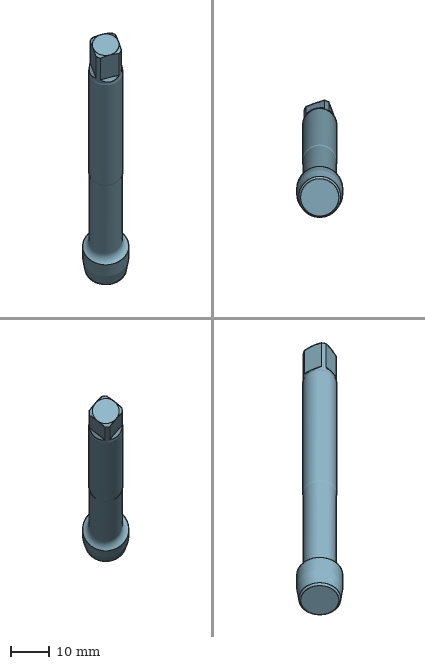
import cadquery as cq
import math

total_length = 100.0

head_diameter = 12.1
head_length = 10.2
taper_length = 5.0
taper_end_diameter = 11.0
tip_chamfer_width = 0.5
tip_chamfer_height = 0.6

neck_diameter = 8.7
flare_length = 2.6

shank_diameter = 9.0
shank_bottom = 43.0
shank_top = 88.5
bevel_length = 0.5
drive_diameter = 8.7

square_width = 7.0
flat_bottom = 90.0
runout_angle = 45.0
top_face_diameter = 7.0
top_chamfer_height = 0.4


def make_cutting_head():
    """Cylindrical head with a tapered lead and a chamfered tip."""
    head_radius = head_diameter / 2
    taper_end_radius = taper_end_diameter / 2
    return (
        cq.Workplane("XZ")
        .moveTo(0, 0)
        .lineTo(taper_end_radius - tip_chamfer_width, 0)
        .lineTo(taper_end_radius, tip_chamfer_height)
        .lineTo(head_radius, taper_length)
        .lineTo(head_radius, head_length)
        .lineTo(0, head_length)
        .close()
        .revolve(360, (0, 0, 0), (0, 1, 0))
    )


def make_round_shank():
    """Flared neck, bevelled shank and round drive end, before the flats are cut."""
    neck_radius = neck_diameter / 2
    shank_radius = shank_diameter / 2
    drive_radius = drive_diameter / 2
    flare_radius = head_diameter / 2
    flare_top = head_length + flare_length

    flare_width = flare_radius - neck_radius
    arc_radius = (flare_width**2 + flare_length**2) / (2 * flare_width)
    half_angle = math.atan2(flare_width, flare_length)
    flare_middle = (
        neck_radius + arc_radius * (1 - math.cos(half_angle)),
        flare_top - arc_radius * math.sin(half_angle),
    )
    return (
        cq.Workplane("XZ")
        .moveTo(0, head_length)
        .lineTo(flare_radius, head_length)
        .threePointArc(flare_middle, (neck_radius, flare_top))
        .lineTo(neck_radius, shank_bottom)
        .lineTo(shank_radius, shank_bottom + bevel_length)
        .lineTo(shank_radius, shank_top - bevel_length)
        .lineTo(drive_radius, shank_top)
        .lineTo(drive_radius, total_length - top_chamfer_height)
        .lineTo(top_face_diameter / 2, total_length)
        .lineTo(0, total_length)
        .close()
        .revolve(360, (0, 0, 0), (0, 1, 0))
    )


def make_flat_cutter():
    """Block that cuts one flat on the +X side, with a floor sloping down outwards."""
    flat_distance = square_width / 2
    outer_distance = shank_diameter / 2
    runout_drop = (outer_distance - flat_distance) * math.tan(math.radians(runout_angle))
    return (
        cq.Workplane("XZ")
        .moveTo(flat_distance, flat_bottom)
        .lineTo(outer_distance, flat_bottom - runout_drop)
        .lineTo(outer_distance, total_length)
        .lineTo(flat_distance, total_length)
        .close()
        .extrude(shank_diameter / 2, both=True)
    )


def make_shank():
    """Shank with four flats forming the square drive."""
    shank = make_round_shank()
    flat_count = 4
    for index in range(flat_count):
        angle = index * 360 / flat_count
        shank = shank.cut(make_flat_cutter().rotate((0, 0, 0), (0, 0, 1), angle))
    return shank


cutting_head = make_cutting_head()
shank = make_shank()

result = cq.Compound.makeCompound([cutting_head.val(), *shank.solids().vals()])